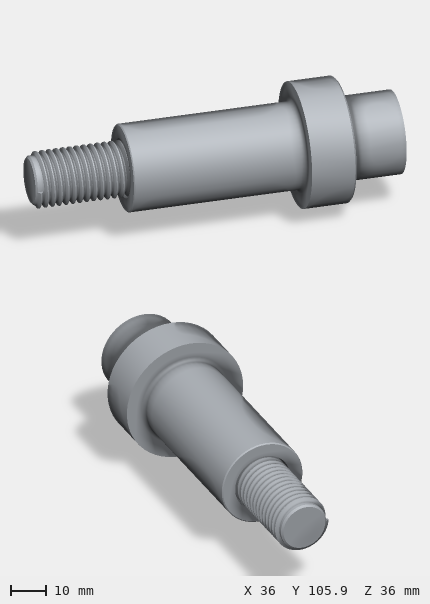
import cadquery as cq


head_length = 16.0
collar_length = 13.0
barrel_length = 50.0
tip_projection = 26.9

collar_radius = 18.0
barrel_radius = 12.5
bore_radius = 8.5
collar_chamfer = 0.5
barrel_fillet = 1.1
barrel_chamfer = 0.3

head_radius = 12.0
head_chamfer = 0.3
shank_radius = 8.1
core_radius = 7.0
tip_chamfer = 0.5

thread_turns = 14
thread_length = 28.0
thread_root_width = 1.9
thread_crest_width = 0.3
thread_tip_gap = 1.3
thread_sink = 0.2

thread_pitch = thread_length / thread_turns

collar_front_y = barrel_length
collar_back_y = collar_front_y + collar_length
head_back_y = collar_back_y + head_length
tip_y = -tip_projection
thread_start_y = tip_y + thread_tip_gap + thread_length
shank_front_y = thread_start_y + thread_pitch


def cylinder(radius, front_y, back_y):
    """Solid cylinder about the Y axis between two places along it."""
    return cq.Workplane("XZ", origin=(0, back_y, 0)).circle(radius).extrude(back_y - front_y)


def make_sleeve():
    """Barrel with a collar at its back end and a clearance bore right through."""
    barrel = cylinder(barrel_radius, 0, collar_front_y)
    barrel = barrel.faces("<Y").chamfer(barrel_chamfer)
    collar = cylinder(collar_radius, collar_front_y, collar_back_y)
    collar = collar.faces(">Y").chamfer(collar_chamfer)
    body = barrel.union(collar)
    smaller_circle = cq.selectors.RadiusNthSelector(0)
    body = body.faces("<Y[1]").edges(smaller_circle).fillet(barrel_fillet)
    return body.cut(cylinder(bore_radius, 0, collar_back_y))


def make_thread():
    """Helical ridge, wound about Z and then laid along Y."""
    path = cq.Wire.makeHelix(thread_pitch, thread_length, core_radius)
    sunk_radius = core_radius - thread_sink
    half_root = thread_root_width / 2
    half_crest = thread_crest_width / 2
    profile = (
        cq.Workplane("XZ")
        .moveTo(sunk_radius, -half_root)
        .lineTo(shank_radius, -half_crest)
        .lineTo(shank_radius, half_crest)
        .lineTo(sunk_radius, half_root)
        .close()
    )
    ridge = profile.sweep(path, isFrenet=True)
    return ridge.rotate((0, 0, 0), (1, 0, 0), 90).translate((0, thread_start_y, 0))


def make_screw():
    """Cap screw whose head seats on the back of the collar."""
    head = cylinder(head_radius, collar_back_y, head_back_y)
    head = head.faces("<Y").chamfer(head_chamfer)
    shank = cylinder(shank_radius, shank_front_y, collar_back_y)
    core = cylinder(core_radius, tip_y, shank_front_y)
    core = core.faces("<Y").chamfer(tip_chamfer)
    threaded_core = core.union(make_thread())
    return threaded_core.union(shank).union(head)


sleeve = make_sleeve()
screw = make_screw()

result = cq.Compound.makeCompound([sleeve.solids().val(), screw.solids().val()])